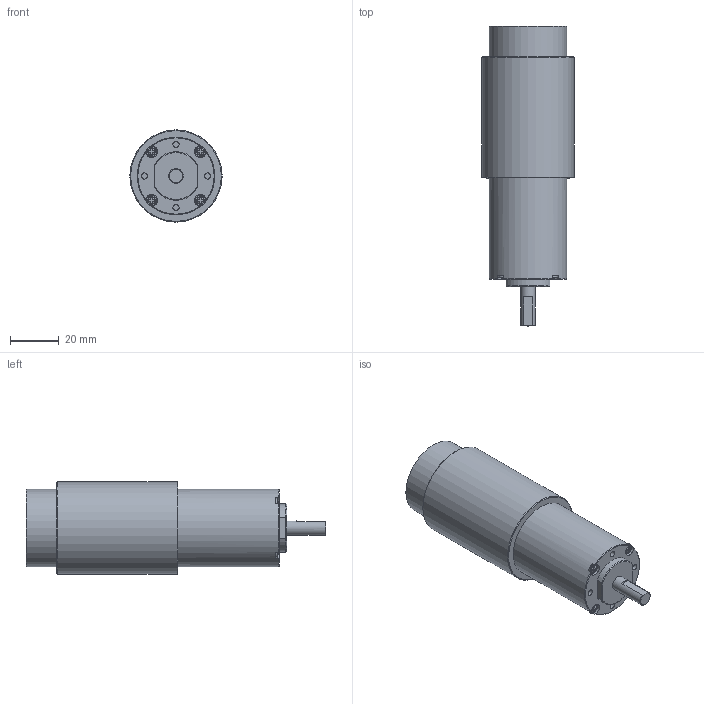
import cadquery as cq
import math


boss_length = 3.0
shaft_reach = 16.2
gearbox_length = 41.8
sleeve_length = 50.0
rear_length = 12.6

body_diameter = 32.0
sleeve_diameter = 38.0
boss_diameter = 20.0
boss_width = 18.0
edge_chamfer = 0.3

mount_hole_diameter = 2.53
mount_hole_depth = 4.0
mount_circle_radius = 13.0

screw_circle_radius = 14.25
screw_recess_diameter = 4.8
screw_recess_depth = 1.6
screw_head_diameter = 4.2
screw_dome_diameter = 3.2
screw_head_height = 1.3
screw_dome_rise = 0.6
cross_slot_width = 0.6
cross_slot_length = 2.6
cross_slot_depth = 0.8

shaft_diameter = 6.0
shaft_tip_chamfer = 0.25
shaft_flat_length = 12.0
shaft_flat_height = 2.5
shaft_seat_depth = boss_length

boss_front_y = -boss_length
shaft_tip_y = boss_front_y - shaft_reach
shaft_seat_y = boss_front_y + shaft_seat_depth
sleeve_front_y = gearbox_length
body_back_y = gearbox_length + sleeve_length + rear_length


def cylinder(diameter, start_y, length):
    """Cylinder on the motor axis, growing toward +Y."""
    return cq.Workplane("XZ", origin=(0, start_y, 0)).circle(diameter / 2).extrude(-length)


def on_circle(radius, start_angle):
    """Four (x, z) places a quarter turn apart."""
    angles = [math.radians(start_angle + 90 * turn) for turn in range(4)]
    return [(radius * math.cos(a), radius * math.sin(a)) for a in angles]


def make_boss():
    """Round boss with a flat on each side."""
    round_boss = cylinder(boss_diameter, boss_front_y, boss_length)
    flats = cq.Workplane("XY").box(boss_width, 2 * boss_length, boss_diameter)
    return round_boss.intersect(flats).faces("<Y").chamfer(edge_chamfer)


def make_housing():
    """Gearbox and motor case with its wide sleeve, front boss, face holes and shaft seat."""
    body = cylinder(body_diameter, 0, body_back_y).faces("<Y").chamfer(edge_chamfer)
    sleeve = cylinder(sleeve_diameter, sleeve_front_y, sleeve_length)
    sleeve = sleeve.faces("<Y or >Y").chamfer(edge_chamfer)
    housing = body.union(sleeve).union(make_boss())

    face = cq.Workplane("XZ")
    mount_holes = face.pushPoints(on_circle(mount_circle_radius, 0))
    housing = housing.cut(mount_holes.circle(mount_hole_diameter / 2).extrude(-mount_hole_depth))
    recesses = face.pushPoints(on_circle(screw_circle_radius, 45))
    housing = housing.cut(recesses.circle(screw_recess_diameter / 2).extrude(-screw_recess_depth))
    return housing.cut(cylinder(shaft_diameter, boss_front_y, shaft_seat_depth))


def make_shaft():
    """D-shaft with its flat facing +Z."""
    shaft = cylinder(shaft_diameter, shaft_tip_y, shaft_seat_y - shaft_tip_y)
    shaft = shaft.faces("<Y").chamfer(shaft_tip_chamfer)
    flat_plane = cq.Workplane("XY", origin=(0, shaft_tip_y, shaft_flat_height))
    flat = flat_plane.rect(shaft_diameter, 2 * shaft_flat_length).extrude(shaft_diameter)
    return shaft.cut(flat)


def make_screw(x, z):
    """Screw head: a flat rim around a dome with a cross slot, resting on the recess floor."""
    rim_height = screw_head_height - screw_dome_rise
    dome_edge = screw_dome_diameter / 2
    dome_radius = (dome_edge**2 + screw_dome_rise**2) / (2 * screw_dome_rise)
    dome_middle_height = screw_head_height - dome_radius + math.sqrt(dome_radius**2 - (dome_edge / 2) ** 2)
    head = (
        cq.Workplane("XY")
        .lineTo(screw_head_diameter / 2, 0)
        .lineTo(screw_head_diameter / 2, -rim_height)
        .lineTo(dome_edge, -rim_height)
        .threePointArc((dome_edge / 2, -dome_middle_height), (0, -screw_head_height))
        .close()
        .revolve(360, (0, 0, 0), (0, 1, 0))
    )
    slot_plane = cq.Workplane("XZ", origin=(0, -screw_head_height, 0))
    for length_x, length_z in ((cross_slot_length, cross_slot_width), (cross_slot_width, cross_slot_length)):
        head = head.cut(slot_plane.rect(length_x, length_z).extrude(-cross_slot_depth))
    return head.translate((x, screw_recess_depth, z))


housing = make_housing()
shaft = make_shaft()
screws = [make_screw(x, z) for x, z in on_circle(screw_circle_radius, 45)]

result = cq.Compound.makeCompound([housing.val(), shaft.val(), *[screw.val() for screw in screws]])